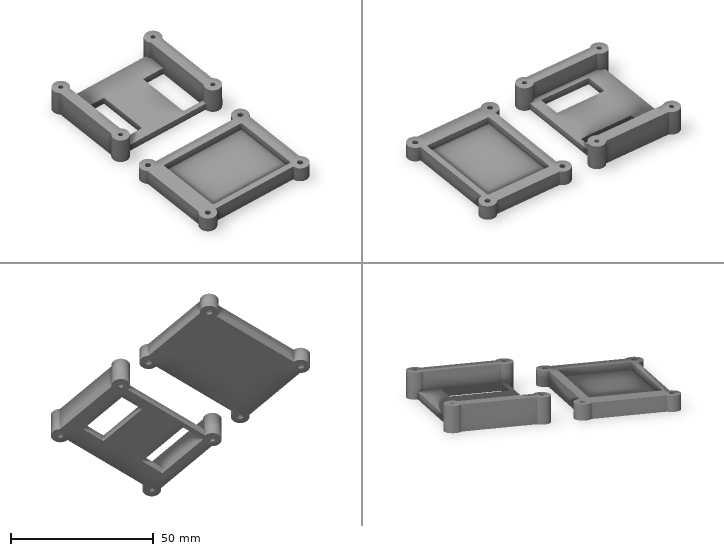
import cadquery as cq

BOSS_DIAMETER = 6.6
BOSS_PITCH_X = 32.9
BOSS_PITCH_Y = 42.0
HALF_PITCH_X = BOSS_PITCH_X / 2
HALF_PITCH_Y = BOSS_PITCH_Y / 2

REAR_FACE_Y = 22.9
FRONT_FACE_Y = -23.2

OPENING_REAR_Y = 18.45
OPENING_FRONT_Y = -17.0

BASE_HEIGHT = 10.0
BASE_HOLE_DIAMETER = 1.8
FLOOR_THICKNESS = 2.8
FRONT_WALL_INNER_Y = -19.0
WINDOW_LENGTH_Y = 9.3
WINDOW_CORNER_RADIUS = 0.4
REAR_WINDOW_LEFT_X = -7.7
REAR_WINDOW_RIGHT_X = 14.5
FRONT_WINDOW_LEFT_X = -8.7
FRONT_WINDOW_RIGHT_X = 12.2

OVERALL_LENGTH = 87.4
LID_CENTER_X = OVERALL_LENGTH - BOSS_DIAMETER - BOSS_PITCH_X
LID_HEIGHT = 5.95
LID_HOLE_DIAMETER = 2.2
LID_SIDE_SHIFT = 0.2
POCKET_LEFT_X = -12.85
POCKET_RIGHT_X = 14.4
POCKET_DEPTH = 3.0
POCKET_CORNER_RADIUS = 0.6


def block(left, right, front, rear, bottom, height):
    """Rectangular block given by its side faces, bottom level and height."""
    size = (right - left, rear - front, height)
    return cq.Workplane("XY").box(*size, centered=False).translate((left, front, bottom))


def rounded_block(left, right, front, rear, bottom, height, radius):
    """Block with rounded vertical corners."""
    return block(left, right, front, rear, bottom, height).edges("|Z").fillet(radius)


def corner_cylinders(diameter, height):
    """Four upright cylinders on the screw pattern, for bosses or holes."""
    pattern = cq.Workplane("XY").rect(BOSS_PITCH_X, BOSS_PITCH_Y, forConstruction=True)
    return pattern.vertices().circle(diameter / 2).extrude(height)


def make_base():
    floor = block(-HALF_PITCH_X, HALF_PITCH_X, FRONT_FACE_Y, REAR_FACE_Y, 0, FLOOR_THICKNESS)
    rear_window_front_y = OPENING_REAR_Y - WINDOW_LENGTH_Y
    front_window_rear_y = OPENING_FRONT_Y + WINDOW_LENGTH_Y
    windows = [
        (REAR_WINDOW_LEFT_X, REAR_WINDOW_RIGHT_X, rear_window_front_y, OPENING_REAR_Y),
        (FRONT_WINDOW_LEFT_X, FRONT_WINDOW_RIGHT_X, OPENING_FRONT_Y, front_window_rear_y),
    ]
    for sides in windows:
        floor = floor.cut(rounded_block(*sides, 0, FLOOR_THICKNESS, WINDOW_CORNER_RADIUS))

    body = floor
    for front, rear in [(FRONT_FACE_Y, FRONT_WALL_INNER_Y), (OPENING_REAR_Y, REAR_FACE_Y)]:
        body = body.union(block(-HALF_PITCH_X, HALF_PITCH_X, front, rear, 0, BASE_HEIGHT))
    body = body.union(corner_cylinders(BOSS_DIAMETER, BASE_HEIGHT))
    return body.cut(corner_cylinders(BASE_HOLE_DIAMETER, BASE_HEIGHT))


def make_lid():
    left = LID_SIDE_SHIFT - HALF_PITCH_X
    right = LID_SIDE_SHIFT + HALF_PITCH_X
    body = block(left, right, FRONT_FACE_Y, REAR_FACE_Y, 0, LID_HEIGHT)
    body = body.union(corner_cylinders(BOSS_DIAMETER, LID_HEIGHT))
    pocket_floor = LID_HEIGHT - POCKET_DEPTH
    pocket = rounded_block(
        POCKET_LEFT_X, POCKET_RIGHT_X, OPENING_FRONT_Y, OPENING_REAR_Y,
        pocket_floor, POCKET_DEPTH, POCKET_CORNER_RADIUS,
    )
    body = body.cut(pocket).cut(corner_cylinders(LID_HOLE_DIAMETER, LID_HEIGHT))
    return body.translate((LID_CENTER_X, 0, 0))


base = make_base()
lid = make_lid()

result = cq.Compound.makeCompound([base.val(), lid.val()])